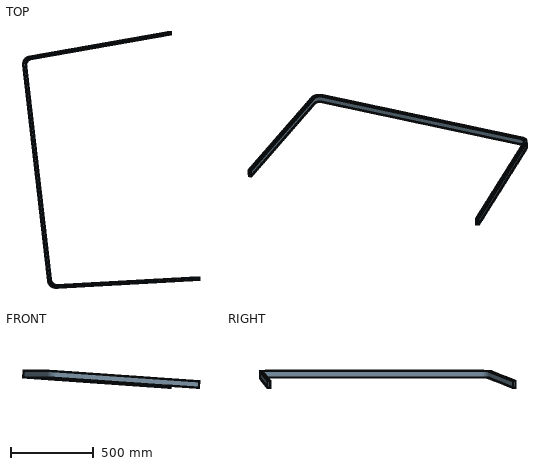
import cadquery as cq
import math

bar_thickness = 15.0
bar_height = 40.0

back_length = 1404.0
arm_length = 912.0
arm_splay = 3.4
bend_radius = 50.0

tilt_down = 4.0
yaw = 6.6


def arm_outline_points():
    """Upper half of the frame: outer corner, the two tip corners, inner corner."""
    splay = math.radians(arm_splay)
    half_back = back_length / 2
    along = (math.cos(splay), math.sin(splay))
    inward = (math.sin(splay), -math.cos(splay))
    outer_corner = (0, half_back)
    outer_tip = (arm_length * along[0], half_back + arm_length * along[1])
    inner_tip = (
        outer_tip[0] + bar_thickness * inward[0],
        outer_tip[1] + bar_thickness * inward[1],
    )
    inner_corner_y = half_back - bar_thickness * (1 - math.sin(splay)) / math.cos(splay)
    inner_corner = (bar_thickness, inner_corner_y)
    return outer_corner, outer_tip, inner_tip, inner_corner


def bent_bar():
    """Flat bar bent into an open U, with concentric inner and outer bends."""
    upper = arm_outline_points()
    lower = [(x, -y) for x, y in reversed(upper)]
    bar = cq.Workplane("XY").polyline([*upper, *lower]).close().extrude(bar_height)
    back_y = back_length / 2
    for side in (1, -1):
        inner_x, inner_y = upper[-1]
        outer_point = (0, side * back_y, bar_height / 2)
        inner_point = (inner_x, side * inner_y, bar_height / 2)
        outer_edge = cq.selectors.NearestToPointSelector(outer_point)
        inner_edge = cq.selectors.NearestToPointSelector(inner_point)
        bar = bar.edges("|Z").edges(outer_edge).fillet(bend_radius)
        bar = bar.edges("|Z").edges(inner_edge).fillet(bend_radius - bar_thickness)
    return bar


frame = bent_bar()
tilted = frame.rotate((0, 0, 0), (0, 1, 0), tilt_down)
result = tilted.rotate((0, 0, 0), (0, 0, 1), yaw)